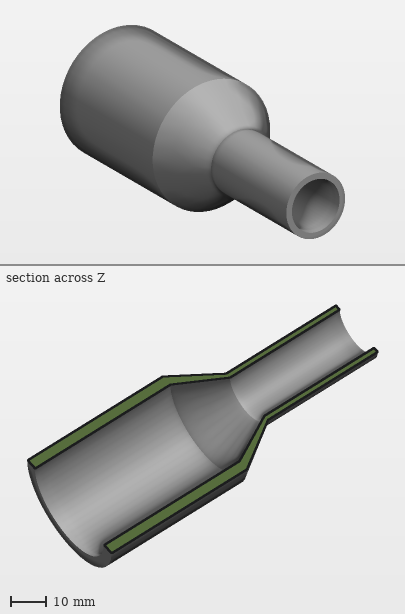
import cadquery as cq

total_length = 102.0
wide_length = 48.0
cone_length = 15.0
wide_outer_diameter = 40.0
wide_bore_diameter = 32.6
narrow_outer_diameter = 20.0
narrow_bore_diameter = 16.2

cone_end = wide_length + cone_length


def stepped_cone(wide_diameter, narrow_diameter):
    """Solid of revolution about X: wide cylinder, cone, narrow cylinder."""
    wide_radius = wide_diameter / 2
    narrow_radius = narrow_diameter / 2
    profile = [
        (0, 0),
        (0, wide_radius),
        (wide_length, wide_radius),
        (cone_end, narrow_radius),
        (total_length, narrow_radius),
        (total_length, 0),
    ]
    return cq.Workplane("XY").polyline(profile).close().revolve(360, (0, 0, 0), (1, 0, 0))


outer_body = stepped_cone(wide_outer_diameter, narrow_outer_diameter)
bore = stepped_cone(wide_bore_diameter, narrow_bore_diameter)

result = outer_body.cut(bore)